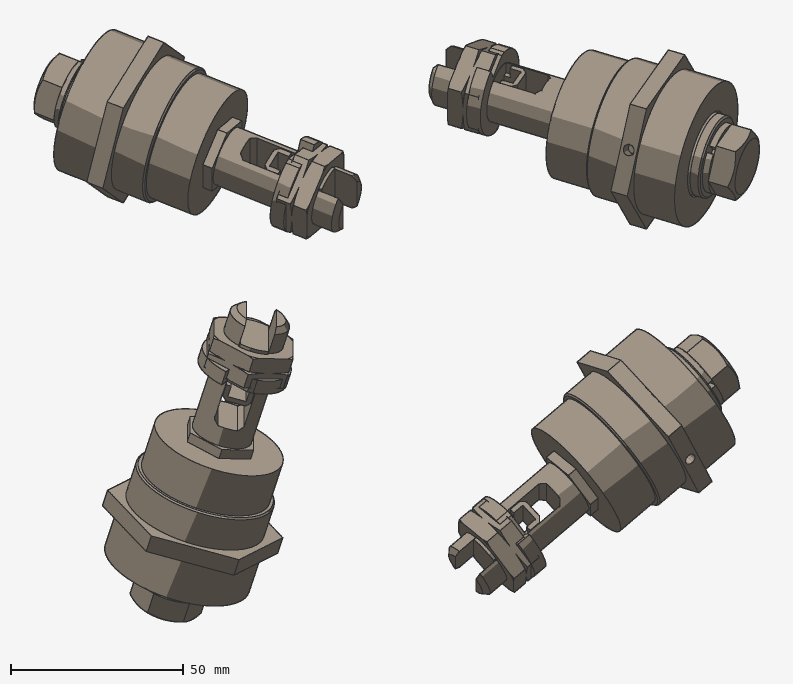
import cadquery as cq
import math

head_length = 7.5
head_across_flats = 18.7
head_top_diameter = 17.0
shank_diameter = 12.0
shank_end_x = 33.0
head_chamfer_angle = 30.0

spring_washer_diameter = 21.1
spring_washer_thickness = 2.0
spring_washer_gap = 2.0
spring_washer_gap_angle = -38.0

washer_diameter = 25.0
washer_thickness = 3.0
washer_chamfer = 0.5
washer_bore = 13.0

cap_start_x = 13.1
cap_length = 13.0
cap_diameter = 44.0
cap_recess_diameter = 26.0
cap_recess_depth = 2.0

panel_hex_across_flats = 46.0
panel_hex_thickness = 5.2
set_hole_diameter = 3.3
set_hole_depth = 4.0
set_hole_angle = 60.0
sleeve_diameter = 42.0
sleeve_length = 10.6
sleeve_chamfer = 0.5

rear_diameter = 39.0
rear_length = 13.4

rod_diameter = 18.0
rod_end_x = 98.2
rod_end_chamfer = 1.6
rod_hex_across_flats = 19.2
rod_hex_thickness = 3.0
slot_width = 9.0
slot_start_x = 64.2
slot_corner_chamfer = 1.5

ring_start_x = 79.0
ring_length = 4.4
ring_half_width = 13.5
ring_half_height = 12.87
ring_floor = 1.3
claw_tip_offset = 6.3
notch_floor_distance = 10.4
notch_floor_tilt = 30.0
ring_flat_end_offset = 3.2

lock_nut_across_flats = 24.0
lock_nut_length = 9.9
lock_nut_groove_width = 0.9
lock_nut_groove_diameter = 24.2
lock_nut_chamfer_length = 0.3
lock_nut_chamfer_diameter = 26.0

clip_start_x = 72.0
clip_width = 8.6
clip_wall = 1.5
clip_corner_chamfer = 1.4
clip_head_half_height = 7.6
clip_leg_drop = 3.5
clip_step_x = 77.0
clip_plate_thickness = 1.0
clip_plate_radius = 9.6

corners_up = 30.0

spring_washer_x = head_length
washer_x = spring_washer_x + spring_washer_thickness
rod_start_x = washer_x + washer_thickness
panel_hex_x = cap_start_x + cap_length
sleeve_x = panel_hex_x + panel_hex_thickness
rear_x = sleeve_x + sleeve_length
rod_hex_x = rear_x + rear_length
lock_nut_x = ring_start_x + ring_floor
lock_nut_end_x = lock_nut_x + lock_nut_length


def cylinder(start_x, length, diameter):
    return cq.Workplane("YZ", origin=(start_x, 0, 0)).circle(diameter / 2).extrude(length)


def corner_radius(across_flats):
    return across_flats / math.sqrt(3)


def hexagon(start_x, length, across_flats, turn=0):
    """Hexagonal prism along X; at turn 0 two corners lie on the Y axis."""
    outline = cq.Workplane("YZ", origin=(start_x, 0, 0)).polygon(6, 2 * corner_radius(across_flats))
    prism = outline.extrude(length)
    return prism.rotate((0, 0, 0), (1, 0, 0), turn)


def box(start_x, end_x, width_y, height_z):
    return (
        cq.Workplane("XY")
        .box(end_x - start_x, width_y, height_z)
        .translate(((start_x + end_x) / 2, 0, 0))
    )


def turned(profile):
    """Solid of revolution about X from (x, radius) points."""
    return cq.Workplane("XY").polyline(profile).close().revolve(360, (0, 0, 0), (1, 0, 0))


def make_bolt():
    top_radius = head_top_diameter / 2
    outer_radius = corner_radius(head_across_flats)
    cone_length = (outer_radius - top_radius) * math.tan(math.radians(head_chamfer_angle))
    envelope = turned([
        (0, 0),
        (0, top_radius),
        (cone_length, outer_radius),
        (head_length, outer_radius),
        (head_length, 0),
    ])
    head = hexagon(0, head_length, head_across_flats).intersect(envelope)
    return head.union(cylinder(head_length, shank_end_x - head_length, shank_diameter))


def make_spring_washer():
    ring = cylinder(spring_washer_x, spring_washer_thickness, spring_washer_diameter)
    ring = ring.cut(cylinder(spring_washer_x, spring_washer_thickness, washer_bore))
    gap = (
        box(spring_washer_x, washer_x, spring_washer_gap, spring_washer_diameter)
        .translate((0, 0, spring_washer_diameter / 2))
        .rotate((0, 0, 0), (1, 0, 0), spring_washer_gap_angle)
    )
    return ring.cut(gap)


def make_washer():
    disc = cylinder(washer_x, washer_thickness, washer_diameter).faces("<X").chamfer(washer_chamfer)
    return disc.cut(cylinder(washer_x, washer_thickness, washer_bore))


def make_cap():
    cap = cylinder(cap_start_x, cap_length, cap_diameter)
    cap = cap.cut(cylinder(cap_start_x, cap_recess_depth, cap_recess_diameter))
    return cap.cut(cylinder(cap_start_x, cap_length, rod_diameter))


def make_panel_sleeve():
    """Hexagonal flange with the round sleeve behind it, and a set screw hole in one flat."""
    sleeve = cylinder(sleeve_x, sleeve_length, sleeve_diameter).faces(">X").chamfer(sleeve_chamfer)
    body = hexagon(panel_hex_x, panel_hex_thickness, panel_hex_across_flats).union(sleeve)
    body = body.cut(cylinder(panel_hex_x, rear_x - panel_hex_x, rod_diameter))
    set_hole = (
        cq.Workplane("XY")
        .circle(set_hole_diameter / 2)
        .extrude(set_hole_depth)
        .translate((
            panel_hex_x + panel_hex_thickness / 2,
            0,
            panel_hex_across_flats / 2 - set_hole_depth,
        ))
        .rotate((0, 0, 0), (1, 0, 0), -set_hole_angle)
    )
    return body.cut(set_hole)


def make_rear_insulator():
    return cylinder(rear_x, rear_length, rear_diameter).cut(
        cylinder(rear_x, rear_length, rod_diameter)
    )


def make_rod():
    """Collared rod with a hexagon, a blind hole for the bolt and a slot open at the far end."""
    collar_end_x = cap_start_x + cap_recess_depth
    rod = cylinder(collar_end_x, rod_end_x - collar_end_x, rod_diameter)
    rod = rod.faces(">X").chamfer(rod_end_chamfer)
    rod = rod.union(cylinder(rod_start_x, collar_end_x - rod_start_x, washer_diameter))
    rod = rod.union(hexagon(rod_hex_x, rod_hex_thickness, rod_hex_across_flats, corners_up))
    rod = rod.cut(cylinder(rod_start_x, shank_end_x - rod_start_x, shank_diameter))
    slot = box(slot_start_x, rod_end_x, slot_width, 2 * rod_diameter)
    slot = slot.edges("<X and |Z").chamfer(slot_corner_chamfer)
    return rod.cut(slot)


def make_lock_nut():
    """Hexagonal nut with a V groove round the middle of its corners and a chamfered far end."""
    nut = hexagon(lock_nut_x, lock_nut_length, lock_nut_across_flats, corners_up)
    nut = nut.cut(cylinder(lock_nut_x, lock_nut_length, rod_diameter))
    outer_radius = corner_radius(lock_nut_across_flats)
    middle_x = lock_nut_x + lock_nut_length / 2
    groove = turned([
        (middle_x, lock_nut_groove_diameter / 2),
        (middle_x - lock_nut_groove_width / 2, outer_radius),
        (middle_x + lock_nut_groove_width / 2, outer_radius),
    ])
    end_chamfer = turned([
        (lock_nut_end_x, lock_nut_chamfer_diameter / 2),
        (lock_nut_end_x - lock_nut_chamfer_length, outer_radius),
        (lock_nut_end_x, outer_radius),
    ])
    return nut.cut(groove).cut(end_chamfer)


def make_ring():
    """Cup that the lock nut sits in, with two claws.

    Each notch has a radial wall under a claw tip and a floor parallel to a flat of the nut. The
    floor rises to a narrow flat, from which the rim curves round to the opposite claw tip.
    """
    claw_angle = math.atan2(claw_tip_offset, ring_half_height)
    tilt = math.radians(notch_floor_tilt)
    wall_foot_radius = notch_floor_distance / math.cos(claw_angle - tilt)
    wall_foot = (
        wall_foot_radius * math.sin(claw_angle),
        wall_foot_radius * math.cos(claw_angle),
    )
    floor_end_y = (notch_floor_distance - ring_half_height * math.cos(tilt)) / math.sin(tilt)
    outline = cq.Workplane("YZ", origin=(ring_start_x, 0, 0)).moveTo(claw_tip_offset, ring_half_height)
    for side in (1, -1):
        outline = (
            outline.lineTo(side * wall_foot[0], side * wall_foot[1])
            .lineTo(side * floor_end_y, side * ring_half_height)
            .lineTo(-side * ring_flat_end_offset, side * ring_half_height)
            .threePointArc(
                (-side * ring_half_width, 0),
                (-side * claw_tip_offset, -side * ring_half_height),
            )
        )
    ring = outline.close().extrude(ring_length)
    ring = ring.cut(cylinder(ring_start_x, ring_length, rod_diameter))
    return ring.cut(hexagon(lock_nut_x, lock_nut_length, lock_nut_across_flats, corners_up))


def make_clip():
    """U-shaped clip with lowered legs, a solid core inside the ring and nut, and an end plate."""
    plate_end_x = lock_nut_end_x + clip_plate_thickness
    leg_half_height = clip_head_half_height - clip_leg_drop
    head = box(clip_start_x, clip_step_x, clip_width, 2 * clip_head_half_height)
    head = head.edges("<X and |Z").chamfer(clip_corner_chamfer)
    legs = box(clip_step_x, ring_start_x, clip_width, 2 * leg_half_height)
    opening = box(clip_start_x + clip_wall, ring_start_x, clip_width - 2 * clip_wall, rod_diameter)
    core = cylinder(ring_start_x, lock_nut_end_x - ring_start_x, rod_diameter).intersect(
        box(ring_start_x, lock_nut_end_x, clip_width, rod_diameter)
    )
    plate = cylinder(lock_nut_end_x, clip_plate_thickness, 2 * clip_plate_radius).intersect(
        box(lock_nut_end_x, plate_end_x, clip_width, rod_diameter * 2)
    )
    return head.union(legs).cut(opening).union(core).union(plate)


bolt = make_bolt()
spring_washer = make_spring_washer()
washer = make_washer()
cap = make_cap()
panel_sleeve = make_panel_sleeve()
rear_insulator = make_rear_insulator()
rod = make_rod()
ring = make_ring()
lock_nut = make_lock_nut()
clip = make_clip()

bodies = [bolt, spring_washer, washer, cap, panel_sleeve, rear_insulator, rod, ring, lock_nut, clip]
result = cq.Compound.makeCompound([body.val() for body in bodies])